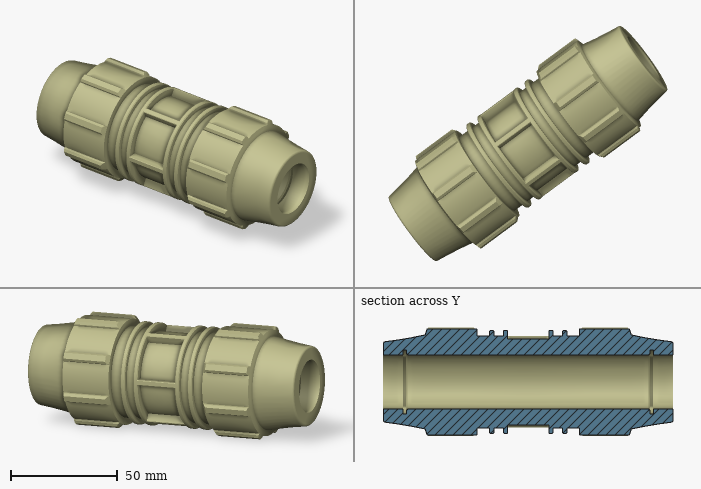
import cadquery as cq
import math


length = 136.0
half_length = length / 2
bore_radius = 25.0 / 2

groove_depth = 9.4
groove_width = 1.5
groove_radius = 15.0
groove_lead_in = 0.7

nose_tip_radius = 18.9
nose_base_radius = 22.2
nose_sag = 0.3
nose_edge_round = 1.0

nut_inner_x = 24.0
nut_outer_x = 48.4
nut_radius = 25.0
grip_count = 8
grip_first_angle = 180.0 / grip_count
grip_tip_radius = 26.9
grip_tip_width = 2.9
grip_width = 4.6
grip_shoulder_radius = 25.8
grip_corner_radius = math.hypot(grip_tip_radius, grip_tip_width / 2)
grip_bevel = 1.6

body_radius = 43.2 / 2
collar_radius = 48.5 / 2
collar_width = 2.2
collar_chamfer = 0.4
inner_collar_x = 10.6
outer_collar_x = 17.1
window_floor_radius = 20.3
bar_count = 6
bar_width = 2.5
bar_chamfer = 0.3


def section_at(x):
    """Cross-section plane: local x is Y, local y is Z, extrusion is +X."""
    return cq.Workplane("YZ", origin=(x, 0, 0))


def ring(x_start, x_end, radius):
    """Solid disc along X between two stations."""
    return section_at(x_start).circle(radius).extrude(x_end - x_start)


def revolved(profile):
    """Revolve a closed (x, radius) profile about the X axis."""
    return profile.close().revolve(360, (0, 0, 0), (1, 0, 0))


def mirrored(solid):
    """Copy at the opposite end of the coupling."""
    return solid.mirror("YZ")


def make_nose():
    middle_x = (nut_outer_x + half_length) / 2
    middle_radius = (nose_tip_radius + nose_base_radius) / 2 - nose_sag
    profile = (
        cq.Workplane("XY")
        .moveTo(nut_outer_x, 0)
        .lineTo(nut_outer_x, nose_base_radius)
        .threePointArc((middle_x, middle_radius), (half_length, nose_tip_radius))
        .lineTo(half_length, 0)
    )
    return revolved(profile).faces(">X").edges().fillet(nose_edge_round)


def make_nut_envelope():
    """Solid as large as the rib tips, bevelled at both ends."""
    profile = (
        cq.Workplane("XY")
        .moveTo(nut_inner_x, 0)
        .lineTo(nut_inner_x, nut_radius)
        .lineTo(nut_inner_x + grip_bevel, grip_corner_radius)
        .lineTo(nut_outer_x - grip_bevel, grip_corner_radius)
        .lineTo(nut_outer_x, nose_base_radius)
        .lineTo(nut_outer_x, 0)
    )
    return revolved(profile)


def make_barrel():
    """Nut barrel with its grip ribs, trimmed together by the bevelled envelope."""
    barrel = ring(nut_inner_x, nut_outer_x, nut_radius)
    rib = (
        section_at(nut_inner_x)
        .polyline([
            (-grip_width / 2, 0),
            (-grip_width / 2, grip_shoulder_radius),
            (-grip_tip_width / 2, grip_tip_radius),
            (grip_tip_width / 2, grip_tip_radius),
            (grip_width / 2, grip_shoulder_radius),
            (grip_width / 2, 0),
        ])
        .close()
        .extrude(nut_outer_x - nut_inner_x)
    )
    for index in range(grip_count):
        angle = grip_first_angle + index * 360.0 / grip_count
        barrel = barrel.union(rib.rotate((0, 0, 0), (1, 0, 0), angle))
    return barrel.intersect(make_nut_envelope())


def make_collar(center_x):
    collar = ring(center_x - collar_width / 2, center_x + collar_width / 2, collar_radius)
    return collar.edges().chamfer(collar_chamfer)


def make_window_bars():
    """Bars joining the inner collars, with the windows left open between them."""
    bars = ring(-inner_collar_x, inner_collar_x, window_floor_radius)
    envelope = ring(-inner_collar_x, inner_collar_x, collar_radius)
    for index in range(bar_count // 2):
        bar = cq.Workplane("XY").box(2 * inner_collar_x, 2 * collar_radius, bar_width)
        bar = bar.edges("|X").chamfer(bar_chamfer)
        bars = bars.union(bar.rotate((0, 0, 0), (1, 0, 0), index * 360.0 / bar_count))
    return bars.intersect(envelope)


def make_groove():
    outer_x = half_length - groove_depth
    inner_x = outer_x - groove_width
    lip_radius = bore_radius + groove_lead_in
    profile = (
        cq.Workplane("XY")
        .moveTo(outer_x, 0)
        .lineTo(outer_x, groove_radius)
        .lineTo(inner_x, groove_radius)
        .lineTo(inner_x, lip_radius)
        .lineTo(inner_x - groove_lead_in, bore_radius)
        .lineTo(inner_x - groove_lead_in, 0)
    )
    return revolved(profile)


end = ring(inner_collar_x, nut_inner_x, body_radius)
end = end.union(make_collar(inner_collar_x)).union(make_collar(outer_collar_x))
end = end.union(make_barrel()).union(make_nose())

result = make_window_bars().union(end).union(mirrored(end))

groove = make_groove()
result = result.cut(ring(-half_length, half_length, bore_radius))
result = result.cut(groove).cut(mirrored(groove))